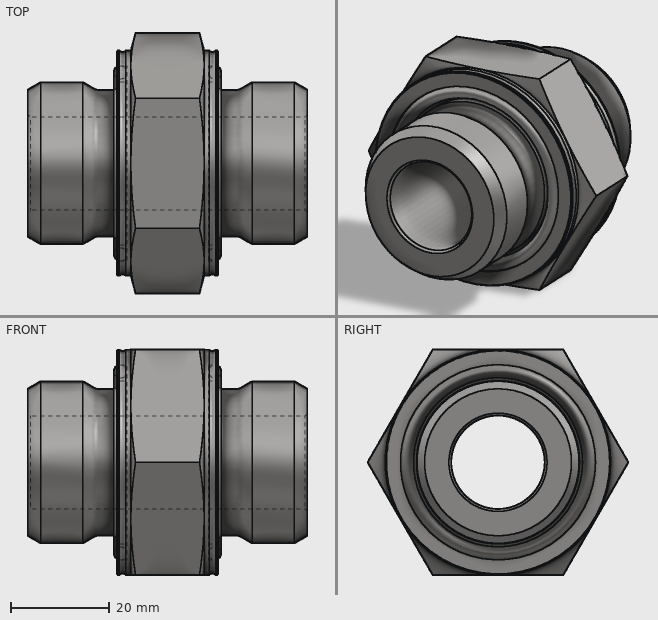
import cadquery as cq
import math

total_length = 57.0
half_length = total_length / 2
ends = (-1, 1)

bore_radius = 19.0 / 2
bore_chamfer = 0.5
thread_radius = 33.0 / 2
neck_radius = 29.9 / 2
taper_angle = math.radians(30)
taper_length = (thread_radius - neck_radius) / math.tan(taper_angle)
thread_end_distance = 11.3
undercut_fillet = 2.0
neck_root_fillet = 0.95

collar_radius = 45.95 / 2
collar_face_x = half_length - 18.2
collar_chamfer = 0.2
collar_groove_width = 1.3
collar_groove_depth = 0.3
collar_groove_x = 9.1

hex_flats = 46.0
hex_half_width = 7.45
hex_corner_radius = hex_flats / math.sqrt(3)
hex_chamfer_angle = math.radians(15)
hex_chamfer_length = (hex_corner_radius - collar_radius) * math.tan(hex_chamfer_angle)

seal_groove_inner_radius = 33.25 / 2
seal_groove_outer_radius = 39.75 / 2
seal_inner_radius = 17.2
seal_protrusion = 0.6
seal_section_radius = (seal_groove_outer_radius - seal_inner_radius) / 2
seal_centre_radius = (seal_groove_outer_radius + seal_inner_radius) / 2
seal_centre_x = collar_face_x + seal_protrusion - seal_section_radius
seal_groove_floor_x = seal_centre_x - seal_section_radius


def revolve_about_x(profile):
    """Turn a closed (x, radius) profile through a full circle about the X axis."""
    return profile.revolve(360, (0, 0, 0), (1, 0, 0))


def place_at_end(solid, side):
    """Return the solid at +X as it is, or its mirror image at -X."""
    return solid if side > 0 else solid.mirror("YZ")


def hexagon():
    """Hexagonal prism along X with both ends turned to a shallow cone."""
    prism = (
        cq.Workplane("YZ")
        .polygon(6, 2 * hex_corner_radius)
        .extrude(hex_half_width, both=True)
    )
    cone_start_x = hex_half_width - hex_chamfer_length
    envelope = revolve_about_x(
        cq.Workplane("XY")
        .moveTo(-hex_half_width, 0)
        .lineTo(-hex_half_width, collar_radius)
        .lineTo(-cone_start_x, hex_corner_radius)
        .lineTo(cone_start_x, hex_corner_radius)
        .lineTo(hex_half_width, collar_radius)
        .lineTo(hex_half_width, 0)
        .close()
    )
    return prism.intersect(envelope)


def turned_end():
    """Half of the turned fitting at +X: collar, seal groove, neck and thread."""
    thread_end_x = half_length - thread_end_distance
    neck_end_x = thread_end_x - taper_length
    fillet_tangent = undercut_fillet * math.tan(taper_angle / 2)
    undercut_start = (neck_end_x - fillet_tangent, neck_radius)
    undercut_middle = (
        undercut_start[0] + undercut_fillet * math.sin(taper_angle / 2),
        neck_radius + undercut_fillet * (1 - math.cos(taper_angle / 2)),
    )
    undercut_end = (
        undercut_start[0] + undercut_fillet * math.sin(taper_angle),
        neck_radius + undercut_fillet * (1 - math.cos(taper_angle)),
    )
    root_offset = neck_root_fillet * (1 - math.sqrt(0.5))
    groove_start_x = collar_groove_x - collar_groove_width / 2
    groove_end_x = collar_groove_x + collar_groove_width / 2
    return revolve_about_x(
        cq.Workplane("XY")
        .moveTo(0, bore_radius)
        .lineTo(0, collar_radius)
        .lineTo(groove_start_x, collar_radius)
        .threePointArc(
            (collar_groove_x, collar_radius - collar_groove_depth),
            (groove_end_x, collar_radius),
        )
        .lineTo(collar_face_x - collar_chamfer, collar_radius)
        .lineTo(collar_face_x, collar_radius - collar_chamfer)
        .lineTo(collar_face_x, seal_groove_outer_radius)
        .lineTo(seal_groove_floor_x, seal_groove_outer_radius)
        .lineTo(seal_groove_floor_x, seal_groove_inner_radius)
        .lineTo(collar_face_x, seal_groove_inner_radius)
        .lineTo(collar_face_x, neck_radius + neck_root_fillet)
        .threePointArc(
            (collar_face_x + root_offset, neck_radius + root_offset),
            (collar_face_x + neck_root_fillet, neck_radius),
        )
        .lineTo(*undercut_start)
        .threePointArc(undercut_middle, undercut_end)
        .lineTo(thread_end_x, thread_radius)
        .lineTo(half_length - taper_length, thread_radius)
        .lineTo(half_length, neck_radius)
        .lineTo(half_length, bore_radius + bore_chamfer)
        .lineTo(half_length - bore_chamfer, bore_radius)
        .close()
    )


def fitting_body():
    """Double-ended fitting: hexagon, two turned ends and a through bore."""
    bore = cq.Workplane("YZ").circle(bore_radius).extrude(half_length, both=True)
    body = hexagon().cut(bore)
    for side in ends:
        body = body.union(place_at_end(turned_end(), side))
    return body


def sealing_ring(side):
    """Round-section ring resting on the floor of the seal groove at one end."""
    ring = revolve_about_x(
        cq.Workplane("XY")
        .moveTo(seal_centre_x, seal_centre_radius)
        .circle(seal_section_radius)
    )
    return place_at_end(ring, side)


fitting = fitting_body()
sealing_rings = [sealing_ring(side) for side in ends]

result = cq.Compound.makeCompound([fitting.solids().val(), *[ring.val() for ring in sealing_rings]])